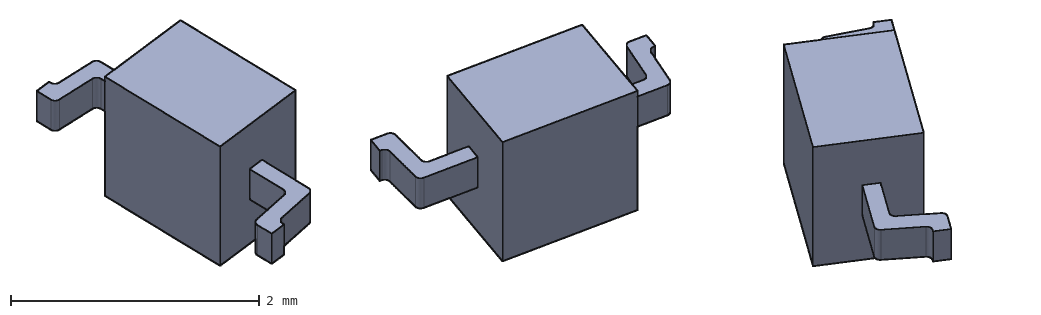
import cadquery as cq
import math


body_length = 1.25
body_width = 1.30
standoff = 0.10
overall_height = 1.01
body_height = overall_height - standoff

lead_span = 2.55
lead_width = 0.33
lead_thickness = 0.15
lead_top = 0.605
foot_length = 0.20
bend_radius = 0.05
leg_angle = 5.0

leg_slope = math.tan(math.radians(leg_angle))
leg_run = lead_thickness / math.cos(math.radians(leg_angle))
body_side = body_length / 2
foot_tip = lead_span / 2
heel_inner = foot_tip - foot_length
heel_outer = heel_inner + leg_run


def leg_point(x_at_board, height):
    """Point on a leg face that meets the board plane at x_at_board and leans inward going up."""
    return (x_at_board - height * leg_slope, height)


def make_body():
    return cq.Workplane("XY").box(body_length, body_height, body_width).translate(
        (0, standoff + body_height / 2, 0)
    )


def make_lead():
    """Gull-wing lead on the +X side, with all four bends rounded."""
    shoulder_bottom = lead_top - lead_thickness
    outline = [
        (body_side, lead_top),
        leg_point(heel_outer, lead_top),
        leg_point(heel_outer, lead_thickness),
        (foot_tip, lead_thickness),
        (foot_tip, 0),
        (heel_inner, 0),
        leg_point(heel_inner, shoulder_bottom),
        (body_side, shoulder_bottom),
    ]
    lead = cq.Workplane("XY").polyline(outline).close().extrude(lead_width / 2, both=True)
    edge_margin = 0.01
    bends = cq.selectors.BoxSelector(
        (body_side + edge_margin, -edge_margin, -lead_width),
        (foot_tip - edge_margin, lead_top + edge_margin, lead_width),
    )
    return lead.edges("|Z").edges(bends).fillet(bend_radius)


right_lead = make_lead()
left_lead = right_lead.mirror("YZ")
result = make_body().union(right_lead).union(left_lead)